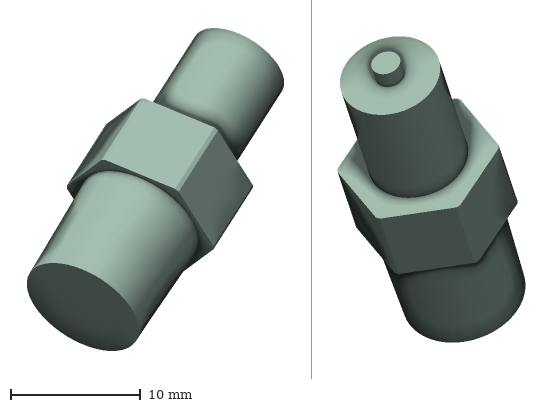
import cadquery as cq
import math

taper_length = 9.64
hex_length = 6.62
barrel_length = 9.9
pin_length = 1.52
total_length = taper_length + hex_length + barrel_length + pin_length

taper_end_diameter = 9.72
taper_root_diameter = 10.25
across_flats = 11.2
across_corners = 12.7
barrel_diameter = 7.92
pin_diameter = 2.3

taper_start = -total_length / 2
hex_start = taper_start + taper_length
barrel_start = hex_start + hex_length
pin_start = barrel_start + barrel_length


def section_plane(y):
    """Plane across the axis at y, with its normal along +Y and local X along +X."""
    return cq.Workplane(cq.Plane(origin=(0, y, 0), xDir=(1, 0, 0), normal=(0, 1, 0)))


def cylinder(start, length, diameter):
    return section_plane(start).circle(diameter / 2).extrude(length)


def tapered_plug():
    """Cone frustum that widens toward the hexagon."""
    end = section_plane(taper_start).circle(taper_end_diameter / 2)
    root = end.workplane(offset=taper_length).circle(taper_root_diameter / 2)
    return root.loft(ruled=True)


def hexagon():
    """Hexagon with flats facing +Z and -Z and narrow trimmed corners."""
    sharp_diameter = across_flats / math.cos(math.pi / 6)
    sharp = section_plane(hex_start).polygon(6, sharp_diameter).extrude(hex_length)
    return sharp.intersect(cylinder(hex_start, hex_length, across_corners))


barrel = cylinder(barrel_start, barrel_length, barrel_diameter)
pin = cylinder(pin_start, pin_length, pin_diameter)

result = tapered_plug().union(hexagon()).union(barrel).union(pin)